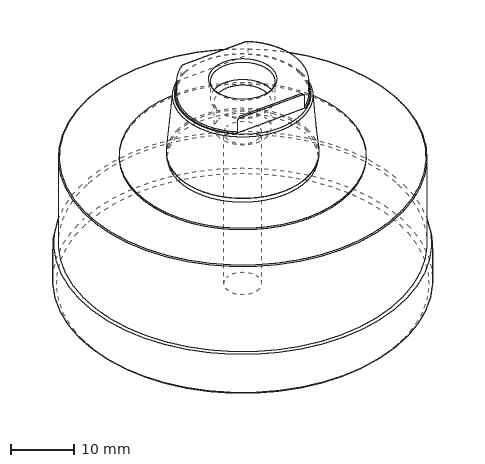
import cadquery as cq
import math

flange_radius = 30.0
flange_height = 7.9
flange_bottom_chamfer = 0.6
flange_rim_height = 0.9
flange_rim_inset = 0.2
drum_radius = 29.1
drum_top = 24.7
drum_edge_chamfer = 0.2

disk_radius = 19.5
disk_top = drum_top + 0.3
recess_radius = 13.6
recess_depth = 0.5

neck_base_radius = 12.05
neck_taper_start = disk_top + 0.8
neck_foot_top = disk_top + 0.4
neck_foot_inset = 0.2
neck_top_radius = 11.1
neck_top = 37.05
neck_edge_chamfer = 0.3

total_height = 40.0
boss_radius = 10.45
boss_edge_fillet = 0.55
boss_foot_flare = 0.2
flats_width = 16.8
flats_edge_chamfer = 0.2

bore_radius = 3.0
pilot_radius = 4.5
pilot_depth = 9.6
drill_point_angle = 118.0
counterbore_radius = 5.1
counterbore_depth = 3.85
counterbore_floor_drop = 0.65
mouth_chamfer_width = 0.3
mouth_chamfer_depth = 0.5


def revolve_profile(points):
    """Revolve (radius, height) points about the Z axis."""
    return cq.Workplane("XZ").polyline(points).close().revolve(360, (0, 0, 0), (0, 1, 0))


def make_body():
    return revolve_profile([
        (0, 0),
        (flange_radius - flange_bottom_chamfer, 0),
        (flange_radius, flange_bottom_chamfer),
        (flange_radius, flange_height - flange_rim_height),
        (flange_radius - flange_rim_inset, flange_height),
        (drum_radius, flange_height),
        (drum_radius, drum_top - drum_edge_chamfer),
        (drum_radius - drum_edge_chamfer, drum_top),
        (disk_radius, drum_top),
        (disk_radius, disk_top),
        (recess_radius, disk_top),
        (neck_base_radius - neck_foot_inset, disk_top - recess_depth),
        (neck_base_radius - neck_foot_inset, neck_foot_top - neck_foot_inset),
        (neck_base_radius, neck_foot_top),
        (neck_base_radius, neck_taper_start),
        (neck_top_radius, neck_top - neck_edge_chamfer),
        (neck_top_radius - neck_edge_chamfer, neck_top),
        (0, neck_top),
    ])


def make_boss():
    boss_height = total_height - neck_top
    base = cq.Workplane("XY").workplane(offset=neck_top)
    boss = base.circle(boss_radius).extrude(boss_height)
    boss = boss.faces(">Z").edges().fillet(boss_edge_fillet)
    foot = revolve_profile([
        (0, neck_top),
        (boss_radius + boss_foot_flare, neck_top),
        (boss_radius, neck_top + boss_foot_flare),
        (0, neck_top + boss_foot_flare),
    ])
    between_flats = base.rect(flats_width, 3 * boss_radius).extrude(boss_height)
    between_flats = between_flats.faces(">Z").edges("|Y").chamfer(flats_edge_chamfer)
    return boss.union(foot).intersect(between_flats)


def make_bore():
    point_height = (pilot_radius - bore_radius) / math.tan(math.radians(drill_point_angle / 2))
    pilot_bottom = total_height - pilot_depth
    counterbore_floor = total_height - counterbore_depth
    return revolve_profile([
        (0, 0),
        (bore_radius, 0),
        (bore_radius, pilot_bottom - point_height),
        (pilot_radius, pilot_bottom),
        (pilot_radius, counterbore_floor - counterbore_floor_drop),
        (counterbore_radius, counterbore_floor),
        (counterbore_radius, total_height - mouth_chamfer_depth),
        (counterbore_radius + mouth_chamfer_width, total_height),
        (0, total_height),
    ])


result = make_body().union(make_boss()).cut(make_bore())